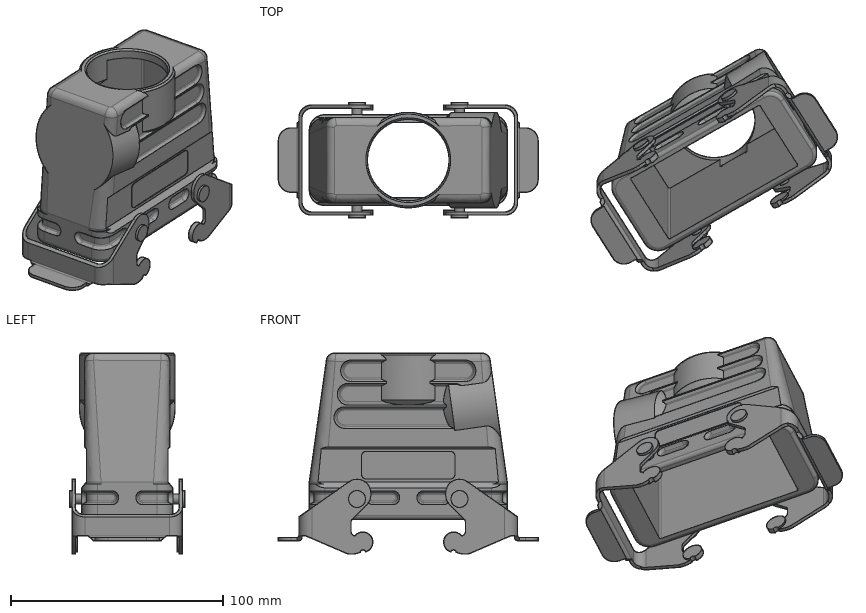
import cadquery as cq
import math


hood_top = 78.5
base_length = 93.4
base_width = 42.9
base_corner_radius = 7.5
base_straight_top = 15.0
base_corner_top = 16.7
base_top = 17.7
rim_fillet = 1.8
end_wall_tilt = 8.0
body_width = 40.2
body_bottom_corner_radius = 7.7
body_top_corner_radius = 4.0
top_fillet = 3.9
end_wall_slope = math.tan(math.radians(end_wall_tilt))
body_top_length = base_length - 2 * (hood_top - base_top) * end_wall_slope

panel_width = 38.5
panel_top = 33.3
label_length = 44.1
label_height = 13.1
label_center_z = 25.6
label_corner_radius = 2.5
label_depth = 0.2

cavity_length = 71.1
cavity_width = 35.3
cavity_top = 73.8
cavity_corner_radius = 0.7
entry_diameter = 38.4
entry_depth = 14.7
entry_chamfer = 0.8
boss_radius = 22.5
top_boss_length = 22.1
side_boss_length = 21.1
boss_edge_chamfer = 0.9
boss_end_cone = boss_radius - cavity_width / 2
boss_end_cone_angle = 45.0
side_boss_center_z = 55.0
side_boss_center_x = base_length / 2 - (side_boss_center_z - base_top) * end_wall_slope

groove_wall_run = 1.2
groove_floor_fillet = 0.7

finger_groove_count = 3
finger_groove_pitch = 11.0
finger_groove_top_z = 70.1
finger_groove_width = 10.2
finger_groove_depth = 1.5
finger_groove_end = 31.9
finger_groove_boss_end = 27.0

base_groove_width = 6.5
base_groove_depth = 2.3
base_groove_z = 10.3
base_groove_start = 4.0
long_side_groove_end = 19.9

lever_length = 51.6
lever_width = 52.0
lever_thickness = 1.6
lever_bend_radius = 6.1
lever_bottom = -16.3
pivot_x = -24.2
pivot_z = 9.7
pin_diameter = 4.8
pin_embedding = 2.5
pin_start = base_width / 2 - pin_embedding
pin_head_diameter = 8.0
pin_head_span = 54.4
ear_center_z = 12.5
ear_radius = 6.5
ear_straight = 1.0
upper_edge_angle = 35.0
band_bottom = -7.7
lower_edge_start_x = -48.3
lower_arc_start = (-28.9, -16.0)
lower_arc_middle = (-27.3, lever_bottom)
lower_arc_end = (-20.7, -14.3)
throat_x = -27.0
throat_radius = pin_diameter / 2
throat_center_z = -5.4
throat_corner_radius = 2.5
throat_edge_angle = 45.0
hook_center = (-21.5, -10.7)
hook_radius = 4.8
hook_thickness = 2.5
nick_radius = 1.2
nick_center = (-21.3, -15.6)

tab_reach = 61.3
tab_width = 30.4
tab_bottom = -10.0
tab_corner_radius = 6.1
tab_bend_radius = 1.8
bend_top_width = 36.8
bend_bottom_width = 31.6


def rounded_box(length, width, bottom, top, radius):
    box = cq.Workplane("XY").workplane(offset=bottom).rect(length, width).extrude(top - bottom)
    return box.edges("|Z").fillet(radius)


def tapered_block(bottom, bottom_size, bottom_radius, top, top_size, top_radius):
    lower = cq.Sketch().rect(*bottom_size).vertices().fillet(bottom_radius)
    upper = cq.Sketch().rect(*top_size).vertices().fillet(top_radius)
    plane = cq.Workplane("XY").workplane(offset=bottom)
    return plane.placeSketch(lower, upper.moved(cq.Location(cq.Vector(0, 0, top - bottom)))).loft()


def both_sides(shape, plane):
    return shape.union(shape.mirror(plane))


def side_slot(start, end, middle_z, width, depth, face_y):
    """Round-ended groove with sloping walls, cut into the -Y side at y = -face_y."""
    slope = math.degrees(math.atan(groove_wall_run / depth))
    plane = cq.Workplane("XZ", origin=((start + end) / 2, -face_y, middle_z))
    groove = plane.slot2D(end - start, width).extrude(-depth, taper=slope)
    return groove.faces(">Y").edges().fillet(groove_floor_fillet)


def make_body():
    body = tapered_block(
        base_top, (base_length, body_width), body_bottom_corner_radius,
        hood_top, (body_top_length, body_width), body_top_corner_radius,
    )
    body = body.faces(">Z").edges().fillet(top_fillet)
    return body.union(rounded_box(base_length, body_width, rim_fillet, base_top, body_bottom_corner_radius))


def make_panel_cut():
    """Sunken panels of both long sides, with the sloping shoulder of the base below them."""
    inner = panel_width / 2
    outer = base_width / 2
    profile = [
        (-inner, base_top),
        (-outer, base_straight_top),
        (-outer, panel_top + outer - inner),
        (-inner, panel_top),
    ]
    cut = cq.Workplane("YZ").polyline(profile).close().extrude(base_length / 2, both=True)
    label = cq.Workplane("XZ", origin=(0, -inner, label_center_z)).rect(label_length, label_height)
    label = label.extrude(-label_depth).edges("|Y").fillet(label_corner_radius)
    return both_sides(cut.union(label), "XZ")


def make_base():
    base = rounded_box(base_length, base_width, 0, base_corner_top, base_corner_radius)
    return base.faces("<Z").edges().fillet(rim_fillet)


def make_boss(length):
    """Boss with its outer face in the XY plane, reaching down -Z to a cone that ends at the cavity wall."""
    boss = cq.Workplane("XY").circle(boss_radius).extrude(-length)
    cone = cq.Workplane("XY").workplane(offset=-length).circle(boss_radius)
    return boss.union(cone.extrude(-boss_end_cone, taper=boss_end_cone_angle))


def place_on_end_wall(shape):
    """Tilts a shape so that its +Z becomes the outward normal of the +X end wall."""
    shape = shape.rotate((0, 0, 0), (0, 1, 0), 90 - end_wall_tilt)
    return shape.translate((side_boss_center_x, 0, side_boss_center_z))


def make_side_boss():
    """Boss flush with the +X end wall, kept below the rounded top edge of the body."""
    edge_z = hood_top - top_fillet
    below_edge = cq.Workplane("XY").rect(base_length, 2 * boss_radius).extrude(edge_z)
    return place_on_end_wall(make_boss(side_boss_length)).intersect(below_edge)


def make_finger_grooves():
    grooves = cq.Workplane("XY")
    for index in range(finger_groove_count):
        drop = index * finger_groove_pitch
        start = -finger_groove_end - drop * end_wall_slope
        end = finger_groove_end if index == 0 else finger_groove_boss_end
        middle_z = finger_groove_top_z - drop
        grooves = grooves.union(
            side_slot(start, end, middle_z, finger_groove_width, finger_groove_depth, body_width / 2)
        )
    return both_sides(grooves, "XZ")


def make_corner_groove():
    """Groove round the (-X, -Y) corner of the base: two slotted arms joined by a turned bend."""
    corner_x = base_corner_radius - base_length / 2
    corner_y = base_corner_radius - base_width / 2
    long_arm_end = 2 * pivot_x + long_side_groove_end
    long_arm = side_slot(
        -base_length, long_arm_end, base_groove_z, base_groove_width, base_groove_depth, base_width / 2
    )
    end_arm = side_slot(
        base_groove_start, base_length, base_groove_z, base_groove_width, base_groove_depth, base_length / 2
    )
    end_arm = end_arm.rotate((0, 0, 0), (0, 0, 1), -90)

    half_open = base_groove_width / 2
    half_floor = half_open - groove_wall_run
    floor_radius = base_corner_radius - base_groove_depth
    section = [
        (floor_radius, base_groove_z - half_floor),
        (base_corner_radius, base_groove_z - half_open),
        (base_corner_radius, base_groove_z + half_open),
        (floor_radius, base_groove_z + half_floor),
    ]
    ring = cq.Workplane("XZ").polyline(section).close().revolve(360, (0, 0, 0), (0, 1, 0))
    ring = ring.edges(cq.selectors.RadiusNthSelector(0)).fillet(groove_floor_fillet)
    ring = ring.translate((corner_x, corner_y, 0))

    zone = cq.Workplane("XY").box(base_length, base_width, hood_top, centered=(False, False, True))
    long_zone = zone.translate((corner_x, corner_y - base_width, 0))
    end_zone = zone.translate((corner_x - base_length, corner_y, 0))
    bend_zone = zone.translate((corner_x - base_length, corner_y - base_width, 0))
    arms = long_arm.intersect(long_zone).union(end_arm.intersect(end_zone))
    return arms.union(ring.intersect(bend_zone))


def make_base_grooves():
    middle = side_slot(
        -long_side_groove_end, -base_groove_start, base_groove_z,
        base_groove_width, base_groove_depth, base_width / 2,
    )
    grooves = middle.union(make_corner_groove())
    return both_sides(both_sides(grooves, "XZ"), "YZ")


def make_hood():
    hood = make_body().union(make_base()).cut(make_panel_cut())
    hood = hood.cut(make_base_grooves()).cut(make_finger_grooves())
    top_boss = make_boss(top_boss_length).faces(">Z").chamfer(boss_edge_chamfer)
    hood = hood.union(top_boss.translate((0, 0, hood_top)))
    hood = hood.union(make_side_boss())
    cavity = rounded_box(cavity_length, cavity_width, 0, cavity_top, cavity_corner_radius)
    entry = cq.Workplane("XY").workplane(offset=hood_top).circle(entry_diameter / 2).extrude(-entry_depth)
    hood = hood.cut(cavity).cut(entry)
    lead_in = cq.Workplane("XY").workplane(offset=hood_top - entry_chamfer).circle(entry_diameter / 2)
    lead_in = lead_in.workplane(offset=entry_chamfer).circle(entry_diameter / 2 + entry_chamfer).loft()
    return hood.cut(lead_in)


def make_lever_profile():
    """Side outline of a lever and its round hook end, both extruded over the lever width."""
    slope = math.radians(upper_edge_angle)
    ear = (pivot_x, ear_center_z)
    diagonal = ear_radius * math.sqrt(0.5)
    ear_start = (ear[0] - ear_radius * math.sin(slope), ear[1] + ear_radius * math.cos(slope))
    ear_side_x = ear[0] + ear_radius
    lower_ear_z = ear[1] - ear_straight
    ear_end = (ear[0] + diagonal, lower_ear_z - diagonal)
    band_top = ear_start[1] - (ear_start[0] + lever_length) * math.tan(slope)
    corner_z = ear_end[1] - (ear_end[0] - throat_x)
    setback = throat_corner_radius * math.tan(math.radians(throat_edge_angle / 2))
    setback_diagonal = setback * math.sqrt(0.5)
    outline = (
        cq.Workplane("XZ")
        .moveTo(-lever_length, band_top)
        .lineTo(*ear_start)
        .threePointArc((ear[0] + diagonal, ear[1] + diagonal), (ear_side_x, ear[1]))
        .lineTo(ear_side_x, lower_ear_z)
        .tangentArcPoint(ear_end, relative=False)
        .lineTo(throat_x + setback_diagonal, corner_z + setback_diagonal)
        .tangentArcPoint((throat_x, corner_z - setback), relative=False)
        .lineTo(throat_x, throat_center_z)
        .tangentArcPoint((throat_x + throat_radius, throat_center_z - throat_radius), relative=False)
        .lineTo(hook_center[0], throat_center_z - throat_radius)
        .lineTo(*hook_center)
        .lineTo(*lower_arc_end)
        .threePointArc(lower_arc_middle, lower_arc_start)
        .lineTo(lower_edge_start_x, band_bottom)
        .lineTo(-lever_length, band_bottom)
        .close()
        .extrude(lever_width / 2, both=True)
    )
    hook = cq.Workplane("XZ").center(*hook_center).circle(hook_radius).extrude(lever_width / 2, both=True)
    nick = cq.Workplane("XZ").center(*nick_center).circle(nick_radius).extrude(lever_width, both=True)
    return outline.union(hook).cut(nick), hook.cut(nick)


def make_bail_wall(thickness):
    """U-shaped sheet wall, closed at -X and running past the hooks."""
    depth = lever_bottom - hood_top
    wall = cq.Workplane("XY").workplane(offset=hood_top)
    outer = wall.rect(2 * lever_length, lever_width).extrude(depth).edges("|Z").fillet(lever_bend_radius)
    inner = wall.rect(2 * (lever_length - thickness), lever_width - 2 * thickness).extrude(depth)
    inner = inner.edges("|Z").fillet(lever_bend_radius - thickness)
    return outer.cut(inner)


def make_tab():
    inner_x = -lever_length + lever_thickness
    tab_top = tab_bottom + lever_thickness
    fillet = band_bottom - tab_top
    bend = (
        cq.Workplane("XZ")
        .moveTo(-lever_length, band_bottom)
        .lineTo(inner_x, band_bottom)
        .lineTo(inner_x, tab_bottom)
        .lineTo(-lever_length - fillet, tab_bottom)
        .lineTo(-lever_length - fillet, tab_top)
        .radiusArc((-lever_length, band_bottom), -fillet)
        .close()
        .extrude(bend_top_width / 2, both=True)
    )
    bend = bend.edges("|Y and >X and <Z").fillet(tab_bend_radius)
    relief = [
        (-bend_top_width / 2, band_bottom),
        (bend_top_width / 2, band_bottom),
        (bend_bottom_width / 2, tab_bottom),
        (-bend_bottom_width / 2, tab_bottom),
    ]
    bend = bend.intersect(cq.Workplane("YZ").polyline(relief).close().extrude(-tab_reach))
    plate = cq.Workplane("XY").box(
        tab_reach - lever_length, tab_width, lever_thickness, centered=(False, True, False)
    )
    plate = plate.translate((-tab_reach, 0, tab_bottom)).edges("|Z and <X").fillet(tab_corner_radius)
    return bend.union(plate)


def make_pins():
    head_start = lever_width / 2 - lever_thickness
    pin_plane = cq.Workplane("XZ", origin=(pivot_x, 0, pivot_z))
    shaft = pin_plane.workplane(offset=pin_start).circle(pin_diameter / 2)
    shaft = shaft.extrude(head_start - pin_start)
    head = pin_plane.workplane(offset=head_start).circle(pin_head_diameter / 2)
    head = head.extrude(pin_head_span / 2 - head_start)
    return both_sides(shaft.union(head), "XZ")


def make_lever():
    profile, hook = make_lever_profile()
    lever = make_bail_wall(lever_thickness).intersect(profile)
    lever = lever.union(make_bail_wall(hook_thickness).intersect(hook))
    return lever.union(make_tab()).union(make_pins())


result = make_hood().union(both_sides(make_lever(), "YZ"))